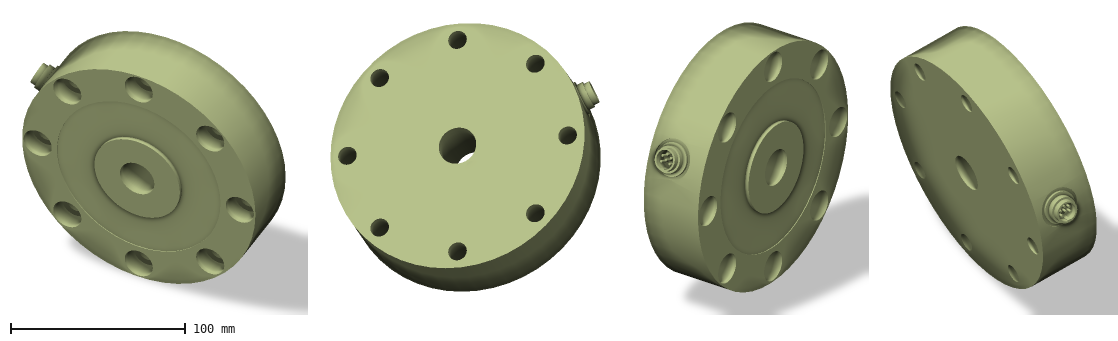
import cadquery as cq
import math

BODY_DIAMETER = 150.0
BODY_THICKNESS = 38.0
BOSS_DIAMETER = 55.0
BOSS_HEIGHT = 2.0
BORE_DIAMETER = 22.0
RECESS_DIAMETER = 105.0
RECESS_DEPTH = 0.5

HOLE_COUNT = 8
HOLE_CIRCLE_RADIUS = 65.0
HOLE_DIAMETER = 11.0
COUNTERBORE_DIAMETER = 18.0
COUNTERBORE_DEPTH = 11.0

CONNECTOR_ANGLE = 180 / HOLE_COUNT
CONNECTOR_Y = 22.0
SEAT_DIAMETER = 24.0

SEAT_RADIUS = 73.9
FLANGE_FRONT = 75.5
COLLAR_BACK = 75.9
COLLAR_FRONT = 79.5
TIP_FRONT = 83.0
SOCKET_FLOOR = 74.8
PIN_FRONT = 81.6

FLANGE_DIAMETER = 20.0
COLLAR_DIAMETER = 16.0
NECK_DIAMETER = 15.0
TIP_DIAMETER = 13.5
SOCKET_DIAMETER = 11.4

PIN_DIAMETER = 1.5
PIN_CIRCLE_RADIUS = 3.4
PIN_PLACES = 6
KEY_WIDTH = 2.0
KEY_HEIGHT = 0.6


def cylinder_y(diameter, start, end):
    """Cylinder about the body axis from y = start to y = end."""
    base = cq.Plane(origin=(0, start, 0), xDir=(1, 0, 0), normal=(0, 1, 0))
    return cq.Workplane(base).circle(diameter / 2).extrude(end - start)


def connector_plane(distance):
    """Plane across the connector axis; its local Y points to the upper side of the connector."""
    tilt = math.radians(CONNECTOR_ANGLE)
    outward = (-math.cos(tilt), 0, math.sin(tilt))
    origin = (distance * outward[0], CONNECTOR_Y, distance * outward[2])
    return cq.Plane(origin=origin, xDir=(0, -1, 0), normal=outward)


def connector_cylinder(diameter, start, end):
    """Cylinder on the connector axis between two distances from the body axis."""
    return cq.Workplane(connector_plane(start)).circle(diameter / 2).extrude(end - start)


def cut_mounting_holes(body):
    """Cut the ring of through holes, counterbored from the -Y face."""
    for index in range(HOLE_COUNT):
        angle = math.radians(index * 360 / HOLE_COUNT)
        place = (HOLE_CIRCLE_RADIUS * math.cos(angle), 0, HOLE_CIRCLE_RADIUS * math.sin(angle))
        body = body.cut(cylinder_y(HOLE_DIAMETER, 0, BODY_THICKNESS).translate(place))
        body = body.cut(cylinder_y(COUNTERBORE_DIAMETER, 0, COUNTERBORE_DEPTH).translate(place))
    return body


def make_body():
    """Disc with shallow front recess, boss, bore, mounting holes and connector seat."""
    body = cylinder_y(BODY_DIAMETER, 0, BODY_THICKNESS)
    body = body.cut(cylinder_y(RECESS_DIAMETER, 0, RECESS_DEPTH))
    body = body.union(cylinder_y(BOSS_DIAMETER, -BOSS_HEIGHT, RECESS_DEPTH))
    body = body.cut(cylinder_y(BORE_DIAMETER, -BOSS_HEIGHT, BODY_THICKNESS))
    body = cut_mounting_holes(body)
    return body.cut(connector_cylinder(SEAT_DIAMETER, SEAT_RADIUS, TIP_FRONT))


def make_pins():
    """Contact pins standing on the socket floor, leaving the lowest place free for the key."""
    places = [(0, 0)]
    for index in range(PIN_PLACES - 1):
        angle = math.radians(-30 + index * 360 / PIN_PLACES)
        places.append((PIN_CIRCLE_RADIUS * math.cos(angle), PIN_CIRCLE_RADIUS * math.sin(angle)))
    floor = cq.Workplane(connector_plane(SOCKET_FLOOR))
    return floor.pushPoints(places).circle(PIN_DIAMETER / 2).extrude(PIN_FRONT - SOCKET_FLOOR)


def make_key():
    """Key rib along the lowest side of the socket, rooted in the socket wall."""
    socket_radius = SOCKET_DIAMETER / 2
    wall_middle = (socket_radius + TIP_DIAMETER / 2) / 2
    inner_face = socket_radius - KEY_HEIGHT
    return (
        cq.Workplane(connector_plane(SOCKET_FLOOR))
        .center(0, -(inner_face + wall_middle) / 2)
        .rect(KEY_WIDTH, wall_middle - inner_face)
        .extrude(TIP_FRONT - SOCKET_FLOOR)
    )


def make_connector():
    """Stepped round plug: flange, neck, collar and tip, with a socket holding the pins."""
    connector = connector_cylinder(FLANGE_DIAMETER, SEAT_RADIUS, FLANGE_FRONT)
    connector = connector.union(connector_cylinder(NECK_DIAMETER, SEAT_RADIUS, COLLAR_BACK))
    connector = connector.union(connector_cylinder(COLLAR_DIAMETER, COLLAR_BACK, COLLAR_FRONT))
    connector = connector.union(connector_cylinder(TIP_DIAMETER, COLLAR_FRONT, TIP_FRONT))
    connector = connector.cut(connector_cylinder(SOCKET_DIAMETER, SOCKET_FLOOR, TIP_FRONT))
    return connector.union(make_pins()).union(make_key())


body = make_body()
connector = make_connector()

result = cq.Compound.makeCompound([body.val(), connector.val()])